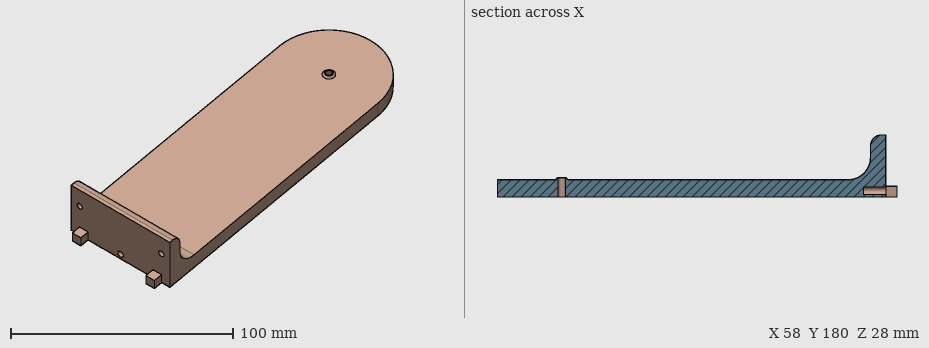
import cadquery as cq

width = 58.0
total_length = 180.0
height = 28.0

plate_thickness = 8.0
wall_thickness = 7.0
inner_fillet_radius = 9.9
top_round_radius = 5.0
end_radius = width / 2

peg_size = 5.0
peg_offset = 21.6

wall_hole_diameter = 3.0
wall_hole_offset = 24.0
wall_hole_height = 18.0
wall_hole_depth = wall_thickness + inner_fillet_radius
blind_hole_diameter = 3.2
blind_hole_height = 2.9
blind_hole_depth = 10.0

boss_base_diameter = 6.1
boss_top_diameter = 4.0
boss_height = 0.9
boss_hole_diameter = 3.0

back_y = total_length - peg_size
boss_y = back_y - end_radius


def make_body():
    """Extrude the L-shaped side profile and round its far end."""
    profile = (
        cq.Workplane("YZ")
        .polyline([
            (0, 0),
            (back_y, 0),
            (back_y, plate_thickness),
            (wall_thickness, plate_thickness),
            (wall_thickness, height),
            (0, height),
        ])
        .close()
        .extrude(width / 2, both=True)
    )
    inner_edge = cq.selectors.NearestToPointSelector((0, wall_thickness, plate_thickness))
    top_edge = cq.selectors.NearestToPointSelector((0, wall_thickness, height))
    body = profile.edges("|X").edges(inner_edge).fillet(inner_fillet_radius)
    body = body.edges("|X").edges(top_edge).fillet(top_round_radius)
    outline = (
        cq.Workplane("XY")
        .moveTo(-width / 2, 0)
        .lineTo(width / 2, 0)
        .lineTo(width / 2, boss_y)
        .threePointArc((0, back_y), (-width / 2, boss_y))
        .close()
        .extrude(height)
    )
    return body.intersect(outline)


def make_pegs():
    """Cubes standing out of the front face, flush with the underside."""
    return (
        cq.Workplane("XY")
        .pushPoints([(-peg_offset, -peg_size / 2), (peg_offset, -peg_size / 2)])
        .rect(peg_size, peg_size)
        .extrude(peg_size)
    )


def make_boss():
    """Low cone on the plate, narrowing upwards."""
    return (
        cq.Workplane("XY", origin=(0, boss_y, plate_thickness))
        .circle(boss_base_diameter / 2)
        .workplane(offset=boss_height)
        .circle(boss_top_diameter / 2)
        .loft(ruled=True)
    )


def front_hole(x, z, diameter, depth):
    """Cylinder running from the front face into the part."""
    return cq.Workplane("XZ", origin=(x, 0, z)).circle(diameter / 2).extrude(-depth)


result = make_body().union(make_pegs()).union(make_boss())

for side in (-1, 1):
    result = result.cut(
        front_hole(side * wall_hole_offset, wall_hole_height, wall_hole_diameter, wall_hole_depth)
    )

result = result.cut(front_hole(0, blind_hole_height, blind_hole_diameter, blind_hole_depth))

boss_hole = (
    cq.Workplane("XY", origin=(0, boss_y, 0))
    .circle(boss_hole_diameter / 2)
    .extrude(plate_thickness + boss_height)
)
result = result.cut(boss_hole)